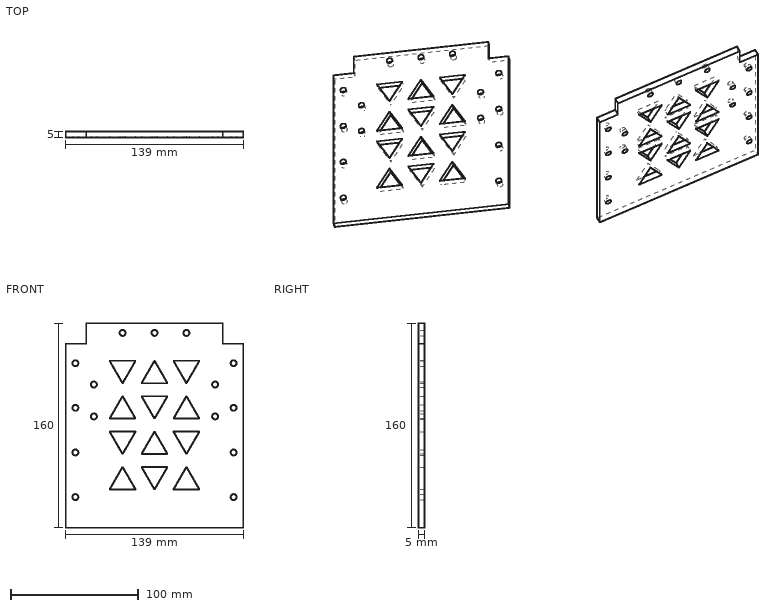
import cadquery as cq
import math

width = 139.0
thickness = 5.0
height = 160.0
notch = 16.0

hole_diameter = 4.5
edge_inset = 7.7
side_hole_count = 4
side_hole_bottom = 24.0
side_hole_pitch = 34.9
inner_hole_x = 47.4
inner_hole_heights = (87.0, 112.0)

column_pitch = 25.0
row_pitch = 27.7
row_count = 4
triangle_side = 20.0
triangle_height = triangle_side * math.sqrt(3) / 2
grid_bottom = 30.0


def front_sketch_plane():
    """XZ plane at the front face; negative extrusion goes toward +Y."""
    return cq.Workplane(cq.Plane(origin=(0, 0, 0), xDir=(1, 0, 0), normal=(0, -1, 0)))


def plate():
    half_width = width / 2
    shoulder = height - notch
    outline = [
        (-half_width, 0),
        (half_width, 0),
        (half_width, shoulder),
        (half_width - notch, shoulder),
        (half_width - notch, height),
        (notch - half_width, height),
        (notch - half_width, shoulder),
        (-half_width, shoulder),
    ]
    return front_sketch_plane().polyline(outline).close().extrude(-thickness)


def hole_centres():
    centres = [(column * column_pitch, height - edge_inset) for column in (-1, 0, 1)]
    for side in (-1, 1):
        for i in range(side_hole_count):
            centres.append((side * (width / 2 - edge_inset), side_hole_bottom + i * side_hole_pitch))
        for z in inner_hole_heights:
            centres.append((side * inner_hole_x, z))
    return centres


def holes():
    return front_sketch_plane().pushPoints(hole_centres()).circle(hole_diameter / 2).extrude(-thickness)


def triangle_window(x, bottom, points_up):
    top = bottom + triangle_height
    base, tip = (bottom, top) if points_up else (top, bottom)
    corners = [(x - triangle_side / 2, base), (x + triangle_side / 2, base), (x, tip)]
    return front_sketch_plane().polyline(corners).close().extrude(-thickness)


result = plate().cut(holes())
for row in range(row_count):
    for column in (-1, 0, 1):
        points_up = (row + column) % 2 == 1
        window = triangle_window(column * column_pitch, grid_bottom + row * row_pitch, points_up)
        result = result.cut(window)